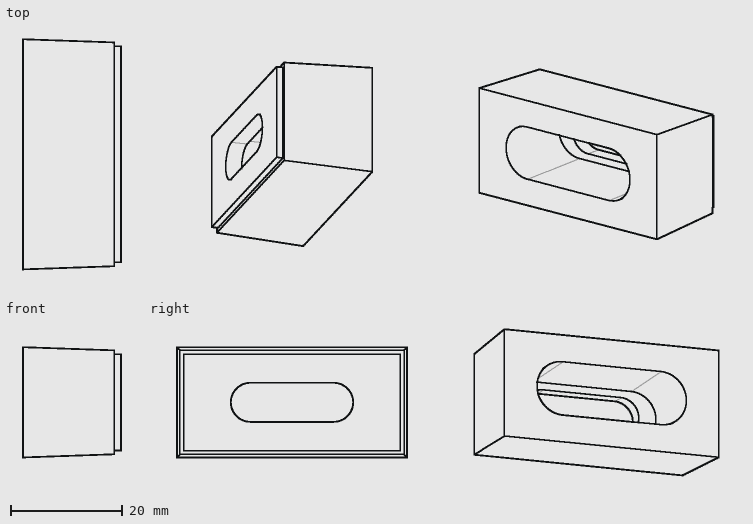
import cadquery as cq
import math

block_length = 16.5
block_width = 41.5
block_height = 19.91
block_draft = 2.0

lip_length = 1.2
lip_inset = 0.7

pocket_width = 28.9
pocket_height = 9.9
pocket_depth = 14.7
pocket_draft = 0.5

slot_width = 22.0
slot_height = 7.0

total_length = block_length + lip_length
block_taper = block_length * math.tan(math.radians(block_draft))
lip_width = block_width - 2 * (block_taper + lip_inset)
lip_height = block_height - 2 * (block_taper + lip_inset)


def section_at(x):
    """Workplane facing +X, with local axes along Y and Z."""
    return cq.Workplane("YZ", origin=(x, 0, 0))


def make_block():
    return section_at(0).rect(block_width, block_height).extrude(block_length, taper=block_draft)


def make_lip():
    return section_at(block_length).rect(lip_width, lip_height).extrude(lip_length)


def make_pocket():
    return section_at(0).slot2D(pocket_width, pocket_height).extrude(pocket_depth, taper=pocket_draft)


def make_slot():
    return section_at(0).slot2D(slot_width, slot_height).extrude(total_length)


result = make_block().union(make_lip()).cut(make_pocket()).cut(make_slot())